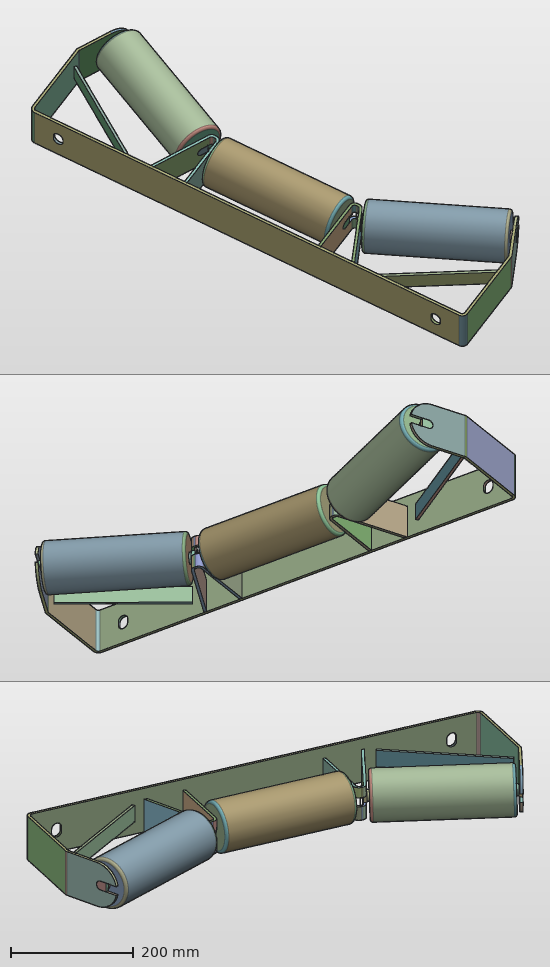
import cadquery as cq
import math


strip_thickness = 5.0
strip_width = 80.0
inner_bend_radius = 5.0
outer_bend_radius = inner_bend_radius + strip_thickness

roller_diameter = 88.9
roller_radius = roller_diameter / 2
roller_length = 240.0
roller_edge_radius = 5.0
shaft_radius = 10.0
shaft_flat_width = 16.0
support_gap = 5.0
shoulder_clearance = 1.0
support_offset = roller_length / 2 + support_gap
shaft_shoulder = support_offset - shoulder_clearance
shaft_end = support_offset + strip_thickness

center_axis_y = 98.3
center_axis_z = -7.0
wing_angle = 25.0
wing_tilt = math.degrees(math.asin(-center_axis_z / (support_offset + shaft_end)))
wing_middle = (-266.0, 160.4, center_axis_z / 2)

frame_length = 830.0
arm_bend_y = 149.0
arm_tip_y = 244.2
mount_spacing = 720.0
mount_slot_width = 18.0
mount_slot_height = 25.0

bracket_top_y = 126.0
bracket_width = 60.0
strut_thickness = 5.0
strut_width = 30.0
strut_wall_y = 131.5
strut_base_x = -222.5

wing_cos = math.cos(math.radians(wing_angle))
wing_sin = math.sin(math.radians(wing_angle))


def wing_plane_x(distance, y):
    """X, at a given Y, of the plan line square to the left wing roller at a distance from its middle."""
    middle_x, middle_y, _ = wing_middle
    return middle_x + (distance + (y - middle_y) * wing_sin) / wing_cos


def unit(start, end):
    length = math.dist(start, end)
    return ((end[0] - start[0]) / length, (end[1] - start[1]) / length)


def offset_points(points, distance):
    """Mitred offset of an open polyline towards the right of its direction; ends move square."""
    directions = [unit(a, b) for a, b in zip(points, points[1:])]
    before = [directions[0]] + directions
    after = directions + [directions[-1]]
    moved = []
    for (x, y), (ax, ay), (bx, by) in zip(points, before, after):
        scale = distance / (1 + ax * bx + ay * by)
        moved.append((x + (ay + by) * scale, y - (ax + bx) * scale))
    return moved


def bent_strip(outer, width):
    """Strip whose outer face follows the plan points, with its material to their right.

    Every strip stands on the same level as the lower edge of the frame.
    """
    inner = offset_points(outer, strip_thickness)
    strip = (
        cq.Workplane("XY")
        .polyline(outer + inner[::-1])
        .close()
        .extrude(width)
        .translate((0, 0, -strip_width / 2))
    )
    for bends, radius in ((outer[1:-1], outer_bend_radius), (inner[1:-1], inner_bend_radius)):
        for x, y in bends:
            bend_edge = cq.selectors.NearestToPointSelector((x, y, 0))
            strip = strip.edges(bend_edge).fillet(radius)
    return strip


def mirrored(body):
    return body.mirror("YZ")


def place_center(body):
    return body.translate((0, center_axis_y, center_axis_z))


def place_left_wing(body):
    return (
        body.rotate((0, 0, 0), (0, 1, 0), wing_tilt)
        .rotate((0, 0, 0), (0, 0, 1), -wing_angle)
        .translate(wing_middle)
    )


def shaft_profile(top, start, depth):
    """Round-bottomed profile as wide as the shaft flats, up to top, extruded along +X from start."""
    half_width = shaft_flat_width / 2
    arc_y = half_width - shaft_radius
    return (
        cq.Workplane("YZ", origin=(start, 0, 0))
        .moveTo(top, -half_width)
        .lineTo(arc_y, -half_width)
        .threePointArc((-shaft_radius, 0), (arc_y, half_width))
        .lineTo(top, half_width)
        .close()
        .extrude(depth)
    )


def make_roller():
    """Roller along X about the origin, with a shaft whose flattened ends drop into the supports."""
    half_length = roller_length / 2
    edge_x = half_length - roller_edge_radius
    edge_z = roller_radius - roller_edge_radius
    edge_reach = roller_edge_radius * math.sqrt(0.5)
    roller = (
        cq.Workplane("XZ")
        .moveTo(-shaft_shoulder, 0)
        .lineTo(-shaft_shoulder, shaft_radius)
        .lineTo(-half_length, shaft_radius)
        .lineTo(-half_length, edge_z)
        .threePointArc((-edge_x - edge_reach, edge_z + edge_reach), (-edge_x, roller_radius))
        .lineTo(edge_x, roller_radius)
        .threePointArc((edge_x + edge_reach, edge_z + edge_reach), (half_length, edge_z))
        .lineTo(half_length, shaft_radius)
        .lineTo(shaft_shoulder, shaft_radius)
        .lineTo(shaft_shoulder, 0)
        .close()
        .revolve(360, (0, 0, 0), (1, 0, 0))
    )
    flat_end = shaft_profile(shaft_radius, shaft_shoulder, shaft_end - shaft_shoulder)
    return roller.union(flat_end).union(mirrored(flat_end))


def make_shaft_slots():
    """Cutters for the open slots that take the two shaft ends of a roller about the origin."""
    slot_top = 2 * roller_radius
    start = support_offset - support_gap / 2
    depth = support_gap / 2 + outer_bend_radius
    slot = shaft_profile(slot_top, start, depth)
    return slot.union(mirrored(slot))


center_slots = place_center(make_shaft_slots())
wing_slots = place_left_wing(make_shaft_slots())


def make_tip_rounding(tip_x):
    """Cutter that leaves a full-width round on the tip of the left arm."""
    radius = strip_width / 2
    cut_reach = 4 * strip_thickness
    waste = (
        cq.Workplane("YZ")
        .moveTo(-radius, radius)
        .threePointArc((0, 0), (-radius, -radius))
        .lineTo(strip_thickness, -radius)
        .lineTo(strip_thickness, radius)
        .close()
        .extrude(cut_reach, both=True)
    )
    return waste.rotate((0, 0, 0), (0, 0, 1), -wing_angle).translate((tip_x, arm_tip_y, 0))


def make_frame():
    """Strip bent into a long back, two end walls and two inclined arms with shaft slots."""
    end_x = -frame_length / 2
    tip_x = end_x + (arm_tip_y - arm_bend_y) * wing_sin / wing_cos
    right = [(-tip_x, arm_tip_y), (-end_x, arm_bend_y), (-end_x, 0)]
    left = [(-x, y) for x, y in reversed(right)]
    frame = bent_strip(right + left, strip_width)
    rounding = make_tip_rounding(tip_x)
    mount_slots = (
        cq.Workplane("XZ")
        .pushPoints([(-mount_spacing / 2, 0), (mount_spacing / 2, 0)])
        .slot2D(mount_slot_height, mount_slot_width, 90)
        .extrude(-strip_thickness)
    )
    for cutter in (wing_slots, rounding):
        frame = frame.cut(cutter).cut(mirrored(cutter))
    return frame.cut(mount_slots)


def make_bracket():
    """Left folded bracket: a sloped leg for the wing roller and an upright leg for the center roller."""
    outer = [
        (wing_plane_x(support_offset, strip_thickness), strip_thickness),
        (wing_plane_x(support_offset, bracket_top_y), bracket_top_y),
        (-support_offset, bracket_top_y),
        (-support_offset, strip_thickness),
    ]
    bracket = bent_strip(outer, bracket_width)
    back_strip = (
        cq.Workplane("XY")
        .box(frame_length, strip_thickness, strip_width)
        .translate((0, strip_thickness / 2, 0))
    )
    return bracket.cut(back_strip).cut(center_slots).cut(wing_slots)


def make_strut():
    """Left square-ended bar leaning between the frame end wall and the back strip."""
    wall_corner = (-frame_length / 2 + strip_thickness, strut_wall_y)
    base_corner = (strut_base_x, strip_thickness)
    upper = offset_points([wall_corner, base_corner], -strut_thickness)
    return (
        cq.Workplane("XY", origin=(0, 0, -strut_width / 2))
        .polyline([wall_corner, base_corner] + upper[::-1])
        .close()
        .extrude(strut_width)
    )


frame = make_frame()
left_bracket = make_bracket()
left_strut = make_strut()
center_roller = place_center(make_roller())
left_wing_roller = place_left_wing(make_roller())

bodies = [frame, center_roller]
for left_body in (left_bracket, left_strut, left_wing_roller):
    bodies += [left_body, mirrored(left_body)]

result = cq.Compound.makeCompound([body.solids().val() for body in bodies])